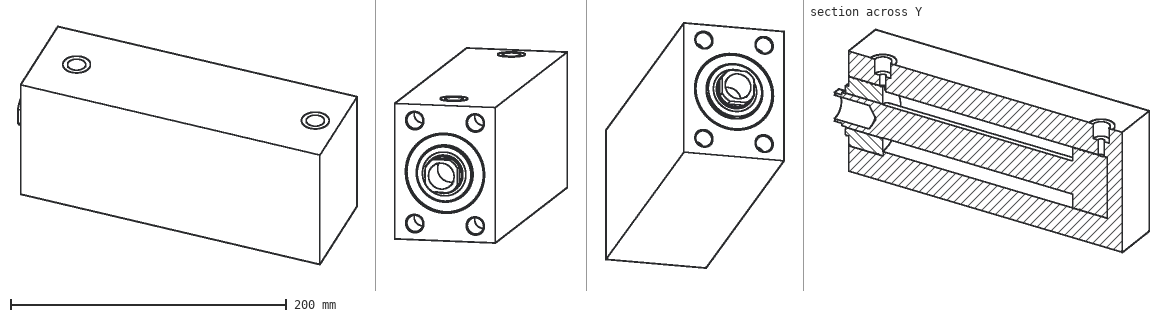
import cadquery as cq
import math


total_length = 245.0
rod_protrusion = 12.0
housing_length = total_length - rod_protrusion
housing_width = 75.0
housing_height = 100.0

mount_spacing_y = 45.0
mount_spacing_z = 76.0
mount_diameter = 12.0
mount_depth = 24.5
mount_chamfer = 0.7

front_port_x = 29.2
rear_port_x = housing_length - 18.1
spotface_diameter = 20.0
spotface_depth = 0.2
port_diameter = 13.2
port_depth = 12.2
oilway_diameter = 5.0

gland_diameter = 57.0
gland_length = front_port_x
gland_seat_chamfer = 1.0
lip_diameter = 42.0
lip_height = 3.0
lip_chamfer = 1.0
lip_recess_diameter = 32.3
lip_recess_depth = 0.2

bore_diameter = 50.0
bore_end_x = rear_port_x + oilway_diameter
piston_length = 29.5
rod_diameter = 28.0
shoulder_chamfer = 0.5
rod_end_diameter = rod_diameter - 2 * shoulder_chamfer
wrench_flat_width = 24.0
wrench_flat_length = 6.1
rod_hole_diameter = 19.0
rod_hole_depth = 29.5

drill_point_angle = 118.0


def x_cylinder(diameter, start_x, end_x):
    """Cylinder on the X axis between two X positions."""
    return cq.Workplane("YZ", origin=(start_x, 0, 0)).circle(diameter / 2).extrude(end_x - start_x)


def drilled_hole(diameter, depth, start_x):
    """Cutter for a blind hole along +X that ends in a drill point."""
    radius = diameter / 2
    point_length = radius / math.tan(math.radians(drill_point_angle / 2))
    return (
        cq.Workplane("XY")
        .moveTo(start_x, 0)
        .lineTo(start_x, radius)
        .lineTo(start_x + depth, radius)
        .lineTo(start_x + depth + point_length, 0)
        .close()
        .revolve(360, (0, 0, 0), (1, 0, 0))
    )


def countersink(diameter, chamfer):
    """Cutter for a 45 degree chamfer around a hole in the front face."""
    radius = diameter / 2
    return cq.Workplane("XY").add(
        cq.Solid.makeCone(radius + chamfer, radius, chamfer, cq.Vector(0, 0, 0), cq.Vector(1, 0, 0))
    )


def port_cutter(x):
    """Spotface, port and oilway from the top face down into the bore."""
    top = cq.Workplane("XY", origin=(x, 0, housing_height / 2))
    spotface = top.circle(spotface_diameter / 2).extrude(-spotface_depth)
    port = top.circle(port_diameter / 2).extrude(-port_depth)
    oilway = top.circle(oilway_diameter / 2).extrude(-housing_height / 2)
    return spotface.union(port).union(oilway)


def make_housing():
    """Block with the cylinder bore, gland seat, mounting holes and oil ports."""
    block = cq.Workplane("XY").box(
        housing_length, housing_width, housing_height, centered=(False, True, True)
    )
    block = block.cut(x_cylinder(gland_diameter, 0, gland_length))
    block = block.cut(countersink(gland_diameter, gland_seat_chamfer))
    block = block.cut(x_cylinder(bore_diameter, gland_length, bore_end_x))

    mount_hole = drilled_hole(mount_diameter, mount_depth, 0)
    mount_hole = mount_hole.union(countersink(mount_diameter, mount_chamfer))
    for side_y in (-1, 1):
        for side_z in (-1, 1):
            position = (0, side_y * mount_spacing_y / 2, side_z * mount_spacing_z / 2)
            block = block.cut(mount_hole.translate(position))

    for port_x in (front_port_x, rear_port_x):
        block = block.cut(port_cutter(port_x))
    return block


def make_gland():
    """Bushing in the housing seat, with a chamfered lip in front and a bore for the rod."""
    lip = x_cylinder(lip_diameter, -lip_height, 0).faces("<X").chamfer(lip_chamfer)
    bushing = x_cylinder(gland_diameter, 0, gland_length).union(lip)
    recess = x_cylinder(lip_recess_diameter, -lip_height, -lip_height + lip_recess_depth)
    rod_bore = x_cylinder(rod_diameter, -lip_height, gland_length)
    return bushing.cut(recess).cut(rod_bore)


def make_piston_rod():
    """Rod with its piston, a square wrench end and a drilled hole in the tip."""
    tip_x = -rod_protrusion
    shoulder_x = tip_x + wrench_flat_length
    wrench_end = x_cylinder(rod_end_diameter, tip_x, shoulder_x).intersect(
        cq.Workplane("YZ", origin=(tip_x, 0, 0))
        .rect(wrench_flat_width, wrench_flat_width)
        .extrude(wrench_flat_length)
    )
    shaft = x_cylinder(rod_diameter, shoulder_x, bore_end_x).faces("<X").chamfer(shoulder_chamfer)
    piston = x_cylinder(bore_diameter, bore_end_x - piston_length, bore_end_x)
    rod = shaft.union(piston).union(wrench_end)
    return rod.cut(drilled_hole(rod_hole_diameter, rod_hole_depth, tip_x))


housing = make_housing()
gland = make_gland()
piston_rod = make_piston_rod()

result = cq.Compound.makeCompound([housing.val(), gland.val(), piston_rod.val()])